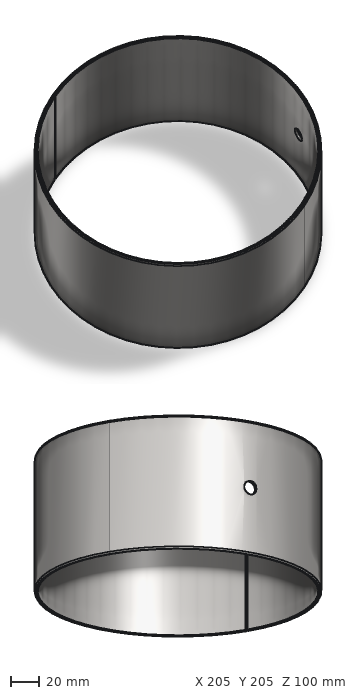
import cadquery as cq

outer_diameter = 205.0
height = 100.0
wall = 2.5
bevel_width = 0.72
outer_bevel_height = 1.5
inner_bevel_height = bevel_width
slit_width = 1.6
hole_diameter = 10.0
hole_azimuth = 59.0

outer_radius = outer_diameter / 2
inner_radius = outer_radius - wall


def make_band():
    """Revolve the wall section, bevelled on both sides of each rim, about Z."""
    rim = height / 2
    rim_outer_radius = outer_radius - bevel_width
    rim_inner_radius = inner_radius + bevel_width
    outer_shoulder = rim - outer_bevel_height
    inner_shoulder = rim - inner_bevel_height
    section = [
        (inner_radius, -inner_shoulder),
        (rim_inner_radius, -rim),
        (rim_outer_radius, -rim),
        (outer_radius, -outer_shoulder),
        (outer_radius, outer_shoulder),
        (rim_outer_radius, rim),
        (rim_inner_radius, rim),
        (inner_radius, inner_shoulder),
    ]
    return cq.Workplane("XZ").polyline(section).close().revolve(360, (0, 0), (0, 1))


def make_slit():
    """Full-height cutter through the -X wall, with one face on the XZ plane."""
    cutter = cq.Workplane("XY").box(outer_radius, slit_width, height, centered=(True, False, True))
    return cutter.translate((-outer_radius, 0, 0))


def make_hole():
    """Radial drill through one wall at mid height."""
    drill = cq.Workplane("YZ").circle(hole_diameter / 2).extrude(outer_diameter)
    return drill.rotate((0, 0, 0), (0, 0, 1), hole_azimuth)


result = make_band().cut(make_slit()).cut(make_hole())